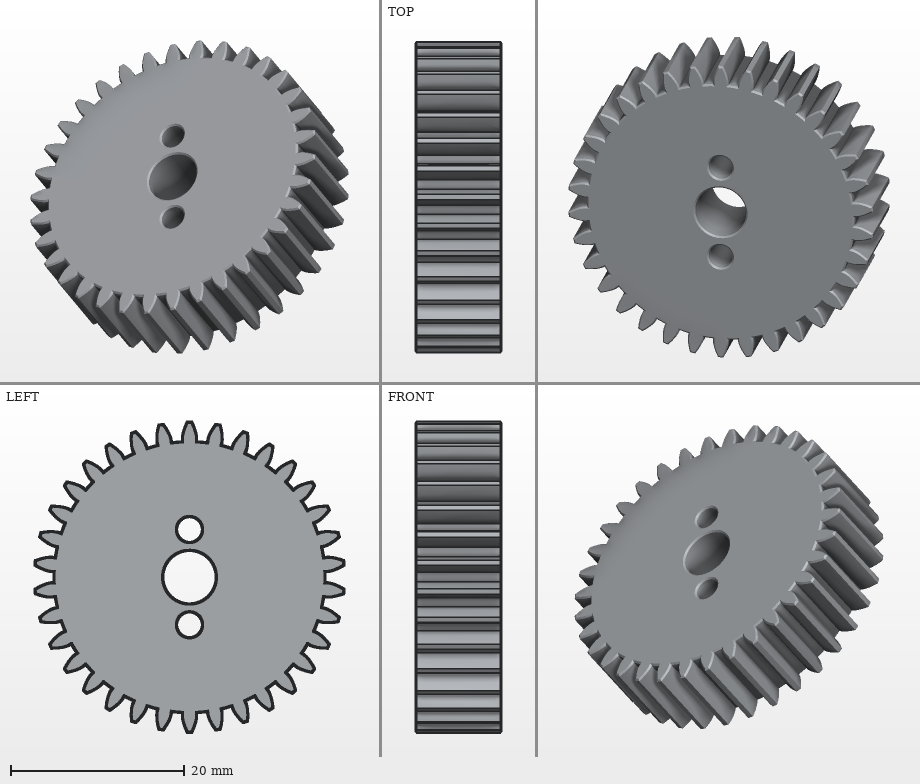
import cadquery as cq
import math

module = 1.0
tooth_count = 34
pressure_angle = math.radians(20)
backlash = 0.12
face_width = 10.0
edge_chamfer = 0.2

bore_diameter = 6.0
pin_hole_diameter = 2.8
pin_hole_offset = 5.5

addendum = module
dedendum = 1.25 * module
pitch_radius = module * tooth_count / 2
tip_radius = pitch_radius + addendum
root_radius = pitch_radius - dedendum
base_radius = pitch_radius * math.cos(pressure_angle)

tooth_pitch = 2 * math.pi / tooth_count
pitch_half_angle = tooth_pitch / 4 - backlash / (2 * pitch_radius)
base_half_angle = pitch_half_angle + math.tan(pressure_angle) - pressure_angle
first_tooth_angle = math.pi / 2

flank_point_count = 6


def polar(radius, angle):
    """Point in the YZ plane at a radius and angle about the gear axis."""
    return (radius * math.cos(angle), radius * math.sin(angle))


def tooth_half_angle(radius):
    """Half the angle that a tooth spans at a radius on its involute flank."""
    local_pressure_angle = math.acos(base_radius / radius)
    return base_half_angle - (math.tan(local_pressure_angle) - local_pressure_angle)


def flank_points(tooth_angle, side):
    """Points on one involute flank, from the base circle to the tip circle."""
    radius_step = (tip_radius - base_radius) / (flank_point_count - 1)
    radii = [base_radius + i * radius_step for i in range(flank_point_count)]
    return [polar(r, tooth_angle + side * tooth_half_angle(r)) for r in radii]


def gear_outline():
    """Closed tooth outline in the YZ plane; flanks run radially below the base circle."""
    start_angle = first_tooth_angle - base_half_angle
    outline = cq.Workplane("YZ", origin=(-face_width / 2, 0, 0)).moveTo(*polar(root_radius, start_angle))
    for i in range(tooth_count):
        tooth_angle = first_tooth_angle + i * tooth_pitch
        rising = flank_points(tooth_angle, -1)
        falling = flank_points(tooth_angle, 1)[::-1]
        outline = outline.lineTo(*rising[0])
        outline = outline.spline(rising[1:], includeCurrent=True)
        outline = outline.threePointArc(polar(tip_radius, tooth_angle), falling[0])
        outline = outline.spline(falling[1:], includeCurrent=True)
        outline = outline.lineTo(*polar(root_radius, tooth_angle + base_half_angle))
        next_tooth_start = polar(root_radius, tooth_angle + tooth_pitch - base_half_angle)
        outline = outline.threePointArc(polar(root_radius, tooth_angle + tooth_pitch / 2), next_tooth_start)
    return outline.close()


def through_hole(diameter, z):
    """Cylinder along X that cuts a hole through the full face width."""
    start = cq.Workplane("YZ", origin=(-face_width / 2, 0, z))
    return start.circle(diameter / 2).extrude(face_width)


gear = gear_outline().extrude(face_width)
gear = gear.cut(through_hole(bore_diameter, 0))
for pin_hole_z in (-pin_hole_offset, pin_hole_offset):
    gear = gear.cut(through_hole(pin_hole_diameter, pin_hole_z))

result = gear.faces("<X or >X").edges().chamfer(edge_chamfer)